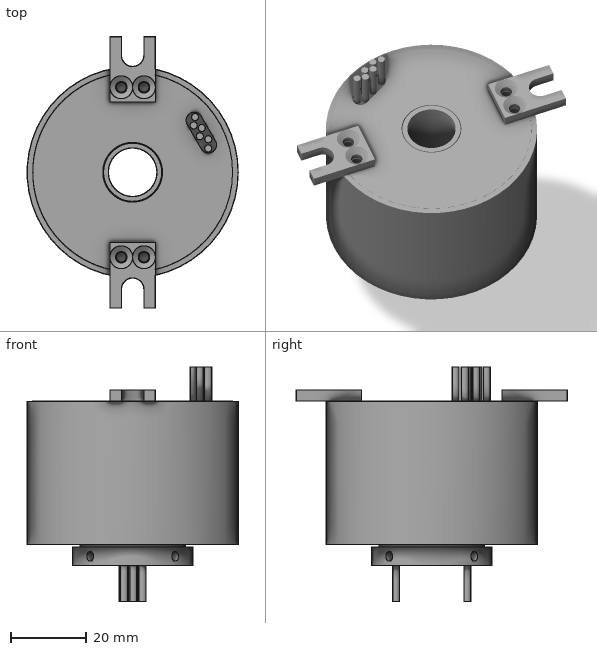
import cadquery as cq
import math

body_diameter = 56.0
body_height = 38.0
cap_diameter = 53.0
cap_step = 0.1

bore_diameter = 12.8
tube_diameter = 15.4
tube_gap = 0.2
groove_depth = 1.0

neck_diameter = 28.0
neck_height = 0.65
flange_diameter = 32.0
flange_height = 5.0
set_screw_diameter = 2.5
set_screw_count = 4

plate_tip_y = 36
plate_length = 17.4
plate_width = 12.0
plate_thickness = 3.0
fork_slot_width = 5.9
fork_slot_depth = 7.9

screw_y = 22.5
screw_spacing = plate_width / 2
screw_clearance = 3.0
countersink_diameter = 6.05
countersink_angle = 90
thread_diameter = 2.6
thread_depth = 6.0
drill_tip_angle = 118

wire_diameter = 1.9
recess_radius = 21.0
recess_angle = 30
recess_width = 4.3
recess_length = 11.8
recess_depth = 1.0
top_wire_height = 9.1
top_wire_places = [(4.4, 0.65), (2.7, -0.8), (1.0, 0.7), (-0.65, -0.8), (-2.45, 0.7), (-4.5, -0.5)]

bottom_wire_length = 9.5
bottom_row_y = 9.4
bottom_wire_pitch = 2.45
bottom_wires_per_row = 3
bottom_row_stagger = 0.2

flange_top = -neck_height
flange_bottom = flange_top - flange_height
recess_floor = body_height - recess_depth
top_wire_end = body_height + top_wire_height
bottom_wire_end = flange_bottom - bottom_wire_length


def cylinder(diameter, bottom, top, x=0, y=0):
    """Upright cylinder between two levels."""
    disc = cq.Workplane("XY", origin=(x, y, bottom)).circle(diameter / 2)
    return disc.extrude(top - bottom)


def make_housing():
    """Drum, cap, neck and flange, with the groove that sets off the tube."""
    drum = cylinder(body_diameter, 0, body_height - cap_step)
    cap = cylinder(cap_diameter, body_height - cap_step, body_height)
    neck = cylinder(neck_diameter, flange_top, 0)
    flange = cylinder(flange_diameter, flange_bottom, flange_top)
    groove_floor = body_height - groove_depth
    groove = cylinder(tube_diameter + 2 * tube_gap, groove_floor, body_height)
    groove = groove.cut(cylinder(tube_diameter, groove_floor, body_height))
    return drum.union(cap).union(neck).union(flange).cut(groove)


def make_set_screw_holes():
    """Radial holes through the flange wall into the bore."""
    middle = (flange_top + flange_bottom) / 2
    hole = (
        cq.Workplane("YZ", origin=(0, 0, middle))
        .circle(set_screw_diameter / 2)
        .extrude(flange_diameter / 2)
    )
    step = 360 / set_screw_count
    holes = cq.Workplane("XY")
    for i in range(set_screw_count):
        holes = holes.add(hole.rotate((0, 0, 0), (0, 0, 1), step * (i + 0.5)))
    return holes.combine()


def make_plate():
    """Fork plate on the +Y side, open towards its outer end."""
    plate = cq.Workplane("XY", origin=(0, plate_tip_y - plate_length / 2, body_height)).box(
        plate_width, plate_length, plate_thickness, centered=(True, True, False)
    )
    slot_radius = fork_slot_width / 2
    slot_end_y = plate_tip_y - fork_slot_depth + slot_radius
    slot = (
        cq.Workplane("XY", origin=(0, 0, body_height))
        .moveTo(-slot_radius, plate_tip_y)
        .lineTo(-slot_radius, slot_end_y)
        .threePointArc((0, slot_end_y - slot_radius), (slot_radius, slot_end_y))
        .lineTo(slot_radius, plate_tip_y)
        .close()
        .extrude(plate_thickness)
    )
    return (
        plate.cut(slot)
        .faces(">Z")
        .workplane(origin=(0, screw_y, 0))
        .pushPoints([(-screw_spacing / 2, 0), (screw_spacing / 2, 0)])
        .cskHole(screw_clearance, countersink_diameter, countersink_angle)
    )


def make_thread_hole(x):
    """Blind drilled hole below one plate screw on the +Y side."""
    radius = thread_diameter / 2
    tip_height = radius / math.tan(math.radians(drill_tip_angle / 2))
    profile = [
        (0, 0),
        (radius, 0),
        (radius, -thread_depth),
        (0, -thread_depth - tip_height),
    ]
    hole = cq.Workplane("XZ").polyline(profile).close().revolve(360, (0, 0), (0, 1))
    return hole.translate((x, screw_y, body_height))


def on_recess(along, across):
    """Place on the housing from distances along and across the wire recess."""
    angle = math.radians(recess_angle)
    radial = recess_radius + across
    x = radial * math.cos(angle) - along * math.sin(angle)
    y = radial * math.sin(angle) + along * math.cos(angle)
    return x, y


def make_recess():
    """Round-ended pocket lying square to the radius it sits on."""
    x, y = on_recess(0, 0)
    return (
        cq.Workplane("XY", origin=(x, y, recess_floor))
        .slot2D(recess_length, recess_width, recess_angle + 90)
        .extrude(recess_depth)
    )


def half_turn(shape):
    """Copy of a shape on the opposite side of the axis."""
    return shape.rotate((0, 0, 0), (0, 0, 1), 180)


result = make_housing().cut(make_recess())

for screw_x in (-screw_spacing / 2, screw_spacing / 2):
    thread_hole = make_thread_hole(screw_x)
    result = result.cut(thread_hole).cut(half_turn(thread_hole))

plate = make_plate()
result = result.union(plate).union(half_turn(plate))

for along, across in top_wire_places:
    wire_x, wire_y = on_recess(along, across)
    wire = cylinder(wire_diameter, recess_floor, top_wire_end, wire_x, wire_y)
    result = result.union(wire)

for i in range(bottom_wires_per_row):
    wire_x = (i - (bottom_wires_per_row - 1) / 2) * bottom_wire_pitch + bottom_row_stagger
    wire = cylinder(wire_diameter, bottom_wire_end, flange_bottom, wire_x, -bottom_row_y)
    result = result.union(wire).union(half_turn(wire))

result = result.cut(cylinder(bore_diameter, flange_bottom, body_height))
result = result.cut(make_set_screw_holes())